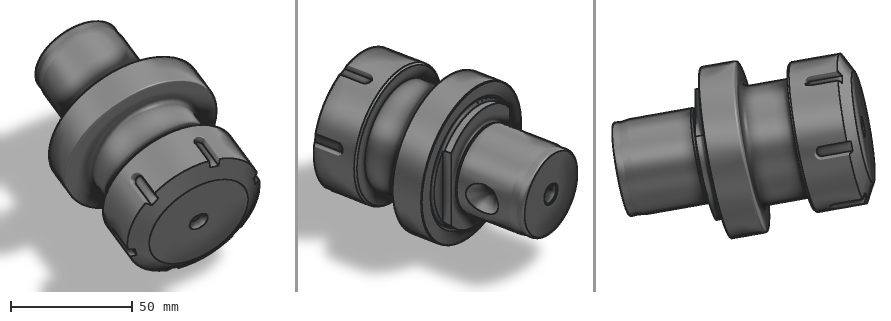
import cadquery as cq
import math


bore_radius = 4.3
bore_chamfer = 0.5

shank_radius = 20.0
nose_face_radius = 19.0
nose_radius = 19.7
nose_length = 1.2
nose_bulge = 0.15
valley_x = 3.5
valley_radius = 19.5
lead_in_end_x = 6.9
shank_end_x = 33.5
undercut_radius = 19.6
undercut_x = 34.5
undercut_fillet = 1.1

pit_x = 20.8
pit_mouth_radius = 8.2

collar_start_x = undercut_x + undercut_fillet
collar_radius = 27.6
collar_rim_end_x = 38.2
collar_neck_x = 39.2
collar_neck_radius = 27.3
flat_half_width = 21.0
flat_end_x = 39.8

flange_start_x = 40.1
flange_end_x = 55.1
flange_radius = 36.0
front_chamfer = 0.3
back_fillet = 1.0
recess_depth = 0.7
recess_fillet = 1.2
recess_mouth_radius = 29.7

neck_radius = 25.0
neck_fillet = 3.1

nut_start_x = 76.4
nut_end_x = 102.0
nut_radius = 31.5
nut_chamfer_length = 0.9
nut_chamfer_depth = 0.8
nut_cone_length = 4.3
nut_face_radius = 23.6
nut_cone_x = nut_end_x - nut_cone_length
neck_end_x = nut_cone_x

slot_count = 6
slot_first_angle = 18.5
slot_floor_radius = 28.9
slot_floor_half_width = 2.09
slot_mouth_half_width = 2.8
slot_rim_fillet = 0.4
slot_round_x = 86.4
slot_draft = math.degrees(
    math.atan2(slot_mouth_half_width - slot_floor_half_width, nut_radius - slot_floor_radius)
)
slot_cut_height = nut_radius - slot_floor_radius + 1.0

AXIS_START = (0, 0, 0)
AXIS_END = (1, 0, 0)


def revolve_about_x(profile):
    return profile.close().revolve(360, AXIS_START, AXIS_END)


def turned_holder():
    nose_middle = (
        nose_length / 2 - nose_bulge,
        (nose_face_radius + nose_radius) / 2 + nose_bulge,
    )
    sin_45 = math.sin(math.radians(45))
    undercut_middle = (
        undercut_x + undercut_fillet * sin_45,
        undercut_radius + undercut_fillet * (1 - sin_45),
    )
    recess_floor_x = flange_start_x + recess_depth
    recess_middle = (
        recess_floor_x - recess_fillet * (1 - sin_45),
        collar_neck_radius + recess_fillet * (1 - sin_45),
    )
    back_fillet_middle = (
        flange_end_x - back_fillet * (1 - sin_45),
        flange_radius - back_fillet * (1 - sin_45),
    )
    neck_fillet_middle = (
        flange_end_x + neck_fillet * (1 - sin_45),
        neck_radius + neck_fillet * (1 - sin_45),
    )
    profile = (
        cq.Workplane("XY")
        .moveTo(0, bore_radius + bore_chamfer)
        .lineTo(0, nose_face_radius)
        .threePointArc(nose_middle, (nose_length, nose_radius))
        .lineTo(valley_x, valley_radius)
        .lineTo(lead_in_end_x, shank_radius)
        .lineTo(shank_end_x, shank_radius)
        .lineTo(undercut_x, undercut_radius)
        .threePointArc(undercut_middle, (collar_start_x, undercut_radius + undercut_fillet))
        .lineTo(collar_start_x, collar_radius)
        .lineTo(collar_rim_end_x, collar_radius)
        .lineTo(collar_neck_x, collar_neck_radius)
        .lineTo(recess_floor_x - recess_fillet, collar_neck_radius)
        .threePointArc(recess_middle, (recess_floor_x, collar_neck_radius + recess_fillet))
        .lineTo(flange_start_x, recess_mouth_radius)
        .lineTo(flange_start_x, flange_radius - front_chamfer)
        .lineTo(flange_start_x + front_chamfer, flange_radius)
        .lineTo(flange_end_x - back_fillet, flange_radius)
        .threePointArc(back_fillet_middle, (flange_end_x, flange_radius - back_fillet))
        .lineTo(flange_end_x, neck_radius + neck_fillet)
        .threePointArc(neck_fillet_middle, (flange_end_x + neck_fillet, neck_radius))
        .lineTo(neck_end_x, neck_radius)
        .lineTo(neck_end_x, bore_radius)
        .lineTo(bore_chamfer, bore_radius)
    )
    return revolve_about_x(profile)


def collar_flat_cut(side):
    """Block that trims the collar to a flat on the +Y (side = 1) or -Y (side = -1) side."""
    cut_length = flat_end_x - collar_start_x
    cut_depth = flange_radius - flat_half_width
    return cq.Workplane("XY").box(cut_length, cut_depth, 2 * flange_radius).translate(
        (collar_start_x + cut_length / 2, side * (flat_half_width + cut_depth / 2), 0)
    )


def cone_pit():
    height = pit_mouth_radius + 1.0
    apex = cq.Vector(pit_x, shank_radius - pit_mouth_radius, 0)
    return cq.Workplane(cq.Solid.makeCone(0, height, height, apex, cq.Vector(0, 1, 0)))


def make_holder():
    holder = turned_holder()
    for side in (1, -1):
        holder = holder.cut(collar_flat_cut(side))
    return holder.cut(cone_pit())


def turned_nut():
    profile = (
        cq.Workplane("XY")
        .moveTo(nut_start_x, neck_radius)
        .lineTo(nut_start_x, nut_radius - nut_chamfer_depth)
        .lineTo(nut_start_x + nut_chamfer_length, nut_radius)
        .lineTo(nut_cone_x, nut_radius)
        .lineTo(nut_end_x, nut_face_radius)
        .lineTo(nut_end_x, bore_radius)
        .lineTo(neck_end_x, bore_radius)
        .lineTo(neck_end_x, neck_radius)
    )
    return revolve_about_x(profile)


def wrench_slot(angle):
    """Flat-floored slot with flared walls, round at one end and open at the nut's face."""
    open_end_x = nut_end_x + slot_mouth_half_width
    return (
        cq.Workplane("XY", origin=(0, 0, slot_floor_radius))
        .moveTo(open_end_x, -slot_floor_half_width)
        .lineTo(slot_round_x, -slot_floor_half_width)
        .threePointArc(
            (slot_round_x - slot_floor_half_width, 0),
            (slot_round_x, slot_floor_half_width),
        )
        .lineTo(open_end_x, slot_floor_half_width)
        .close()
        .extrude(slot_cut_height, taper=-slot_draft)
        .rotate(AXIS_START, AXIS_END, -angle)
    )


def is_slot_rim(edge):
    """True for an edge where a slot meets the cylindrical surface of the nut."""
    tolerance = 0.01
    middle = edge.positionAt(0.5)
    on_cylinder = abs(math.hypot(middle.y, middle.z) - nut_radius) < tolerance
    cylinder_start_x = nut_start_x + nut_chamfer_length
    return on_cylinder and cylinder_start_x + tolerance < middle.x < nut_cone_x - tolerance


def make_nut():
    nut = turned_nut()
    for index in range(slot_count):
        nut = nut.cut(wrench_slot(slot_first_angle + index * 360 / slot_count))
    rims = nut.edges().filter(is_slot_rim)
    return rims.fillet(slot_rim_fillet)


holder = make_holder()
nut = make_nut()

result = cq.Compound.makeCompound([holder.solids().val(), nut.solids().val()])